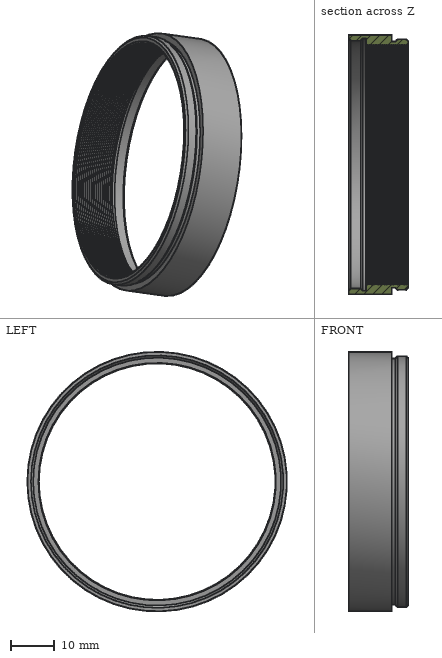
import cadquery as cq
import math

body_diameter = 60.0
body_length = 10.0

male_thread_diameter = 58.0
relief_diameter = 57.0
relief_width = 0.8
overall_length = 13.8
male_chamfer = (male_thread_diameter - relief_diameter) / 2

female_entry_diameter = 58.3
female_thread_diameter = 57.25
female_chamfer = (female_entry_diameter - female_thread_diameter) / 2
female_thread_end = 2.75
undercut_diameter = female_entry_diameter
female_depth = 4.0

bore_diameter = 54.6
groove_pitch = 0.5
groove_angle = 60.0
groove_count = 19
inner_flare_length = 0.08
first_crest = female_depth + inner_flare_length
last_crest = first_crest + groove_count * groove_pitch
wall_slope = 1 / math.tan(math.radians(groove_angle / 2))
groove_root_diameter = bore_diameter + groove_pitch * wall_slope
inner_flare_diameter = bore_diameter + 2 * inner_flare_length * wall_slope
outer_flare_diameter = bore_diameter + 2 * (overall_length - last_crest) * wall_slope


def revolve_profile(points):
    """Revolve (position along X, diameter) points about the X axis."""
    outline = [(x, diameter / 2) for x, diameter in points]
    return cq.Workplane("XY").polyline(outline).close().revolve(360, (0, 0, 0), (1, 0, 0))


def make_outside():
    """Solid envelope: body, relief groove and chamfered male thread band."""
    relief_end = body_length + relief_width
    return revolve_profile([
        (0, 0),
        (0, body_diameter),
        (body_length, body_diameter),
        (body_length, relief_diameter),
        (relief_end, relief_diameter),
        (relief_end + male_chamfer, male_thread_diameter),
        (overall_length - male_chamfer, male_thread_diameter),
        (overall_length, relief_diameter),
        (overall_length, 0),
    ])


def make_inside():
    """Cavity: chamfered female thread, undercut and ribbed bore."""
    profile = [
        (0, 0),
        (0, female_entry_diameter),
        (female_chamfer, female_thread_diameter),
        (female_thread_end, female_thread_diameter),
        (female_thread_end + female_chamfer, undercut_diameter),
        (female_depth, undercut_diameter),
        (female_depth, inner_flare_diameter),
    ]
    for i in range(groove_count):
        crest = first_crest + i * groove_pitch
        profile.append((crest, bore_diameter))
        profile.append((crest + groove_pitch / 2, groove_root_diameter))
    profile.append((last_crest, bore_diameter))
    profile.append((overall_length, outer_flare_diameter))
    profile.append((overall_length, 0))
    return revolve_profile(profile)


result = make_outside().cut(make_inside())